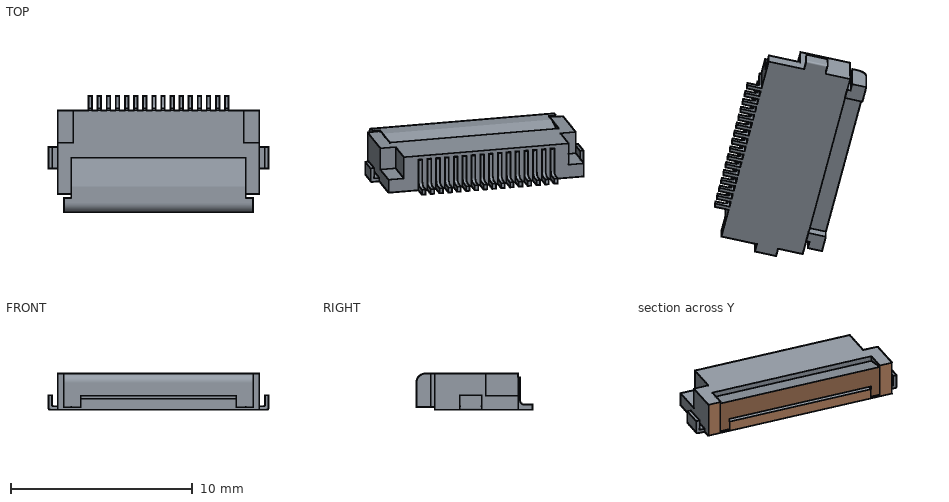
import cadquery as cq


total_width = 12.1
total_depth = 6.4
total_height = 2.0

housing_width = 11.1
housing_depth = 4.6
notch_width = 0.87
notch_depth = 1.79
notch_floor_z = 0.76

slider_width = 10.39
slider_bottom_z = 0.15
slider_top_radius = 0.51
ear_gap = 0.2
tongue_width = 9.6
tongue_reach = 2.0
slope_start = 0.42
slope_drop = 0.3

slot_width = 8.55
slot_top_z = 0.76
slot_bottom_z = 0.62

contact_count = 16
contact_span = 7.5
contact_width = 0.2
contact_length = 0.8
contact_height = 1.79
contact_stem = 0.11
contact_foot = 0.29
contact_bend_radius = 0.22

tab_length = 1.2
tab_back_offset = 2.01
tab_height = 0.8
tab_thickness = 0.2
tab_outer_radius = 0.1
tab_inner_radius = 0.04

slider_front_y = -(total_depth - housing_depth - contact_length)


def box(x_range, y_range, z_range):
    """Axis-aligned block between the given limits."""
    return cq.Workplane("XY").box(
        x_range[1] - x_range[0],
        y_range[1] - y_range[0],
        z_range[1] - z_range[0],
        centered=False,
    ).translate((x_range[0], y_range[0], z_range[0]))


def centred_box(width, y_range, z_range):
    """Block that is symmetric about X = 0."""
    return box((-width / 2, width / 2), y_range, z_range)


def make_contact(x_centre):
    """L-shaped contact: a thin stem up the back face and a foot on the board."""
    stem_y = housing_depth + contact_stem
    return (
        cq.Workplane("YZ")
        .moveTo(housing_depth, 0)
        .lineTo(housing_depth + contact_length, 0)
        .lineTo(housing_depth + contact_length, contact_foot)
        .lineTo(stem_y + contact_bend_radius, contact_foot)
        .radiusArc((stem_y, contact_foot + contact_bend_radius), contact_bend_radius)
        .lineTo(stem_y, contact_height)
        .lineTo(housing_depth, contact_height)
        .close()
        .extrude(contact_width / 2, both=True)
        .translate((x_centre, 0, 0))
    )


def make_left_tab():
    """Solder tab: a flat plate bent up at its outer edge."""
    outer_x = -total_width / 2
    flange_inner_x = outer_x + tab_thickness
    inner_x = -housing_width / 2
    back_y = housing_depth - tab_back_offset
    return (
        cq.Workplane("XZ", origin=(0, back_y, 0))
        .moveTo(inner_x, 0)
        .lineTo(outer_x + tab_outer_radius, 0)
        .radiusArc((outer_x, tab_outer_radius), tab_outer_radius)
        .lineTo(outer_x, tab_height)
        .lineTo(flange_inner_x, tab_height)
        .lineTo(flange_inner_x, tab_thickness + tab_inner_radius)
        .radiusArc((flange_inner_x + tab_inner_radius, tab_thickness), -tab_inner_radius)
        .lineTo(inner_x, tab_thickness)
        .close()
        .extrude(tab_length)
    )


def make_housing():
    """Housing with its slider pocket, moulded-in contacts and solder tabs."""
    body = centred_box(housing_width, (0, housing_depth), (0, total_height))

    notch_inner_x = housing_width / 2 - notch_width
    left_notch = box(
        (-housing_width / 2, -notch_inner_x),
        (housing_depth - notch_depth, housing_depth),
        (notch_floor_z, total_height),
    )
    body = body.cut(left_notch).cut(left_notch.mirror("YZ"))

    body = body.cut(centred_box(tongue_width, (0, tongue_reach), (slider_bottom_z, total_height)))
    body = body.union(centred_box(slot_width, (0, tongue_reach), (0, slot_bottom_z)))

    contact_pitch = contact_span / (contact_count - 1)
    for index in range(contact_count):
        body = body.union(make_contact(index * contact_pitch - contact_span / 2))

    left_tab = make_left_tab()
    return body.union(left_tab).union(left_tab.mirror("YZ"))


def make_slider():
    """Slider with a rounded front bar and a tongue whose top slopes down towards the back."""
    bar = centred_box(slider_width, (slider_front_y, -ear_gap), (slider_bottom_z, total_height))
    bar = bar.edges("<Y and >Z").fillet(slider_top_radius)
    tongue = (
        cq.Workplane("YZ")
        .polyline([
            (-ear_gap, slider_bottom_z),
            (tongue_reach, slider_bottom_z),
            (tongue_reach, total_height - slope_drop),
            (slope_start, total_height),
            (-ear_gap, total_height),
        ])
        .close()
        .extrude(tongue_width / 2, both=True)
    )
    slot = centred_box(slot_width, (slider_front_y, tongue_reach), (slider_bottom_z, slot_top_z))
    return bar.union(tongue).cut(slot)


housing = make_housing()
slider = make_slider()

result = cq.Compound.makeCompound([housing.solids().val(), slider.solids().val()])